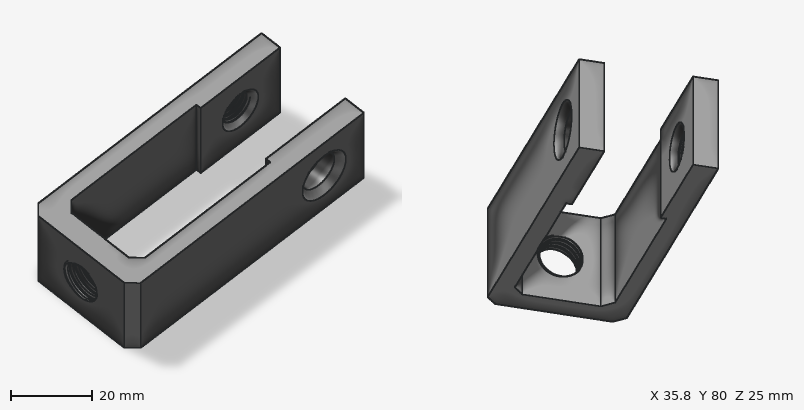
import cadquery as cq
import math

width = 35.76
length = 80.0
height = 25.0

leg_wall = 5.0
pad_wall = 6.5
pad_length = 27.45
base_wall = 6.5
corner_chamfer = 2.8

pin_from_end = pad_length / 2
pin_major_diameter = 9.5
pin_minor_diameter = 8.35
pin_pitch = 1.25
clear_hole_diameter = 11.0
countersink_depth = 2.0

shank_major_diameter = 12.3
shank_minor_diameter = 10.95
shank_pitch = 1.75

flank_angle = 30.0
crest_width_in_pitches = 1 / 6
groove_overlap = 0.1
thread_start_angle = -55.0

half_width = width / 2
front_y = -length / 2
back_y = length / 2
pin_y = back_y - pin_from_end


def chamfered_block(size_x, size_y, center_y):
    """Full-height block whose two vertical edges on the -Y side are chamfered."""
    block = cq.Workplane("XY").center(0, center_y).box(size_x, size_y, height)
    return block.faces("<Y").edges("|Z").chamfer(corner_chamfer)


def make_body():
    """U-shaped body, with the gap between the legs narrower at the open end."""
    outer = chamfered_block(width, length, 0)
    cavity_length = length - base_wall - pad_length
    cavity_center_y = front_y + base_wall + cavity_length / 2
    cavity = chamfered_block(width - 2 * leg_wall, cavity_length, cavity_center_y)
    mouth_center_y = back_y - pad_length / 2
    mouth = cq.Workplane("XY").center(0, mouth_center_y).box(width - 2 * pad_wall, pad_length, height)
    return outer.cut(cavity).cut(mouth)


def make_groove(major_diameter, minor_diameter, pitch, depth):
    """Right-handed thread groove about Z, running one pitch past each end of the depth."""
    root_radius = major_diameter / 2
    inner_radius = minor_diameter / 2 - groove_overlap
    crest_half = crest_width_in_pitches * pitch / 2
    mouth_half = crest_half + (root_radius - inner_radius) * math.tan(math.radians(flank_angle))
    profile = [
        (inner_radius, -mouth_half),
        (root_radius, -crest_half),
        (root_radius, crest_half),
        (inner_radius, mouth_half),
    ]
    helix = cq.Workplane(obj=cq.Wire.makeHelix(pitch, depth + 2 * pitch, minor_diameter / 2))
    groove = cq.Workplane("XZ").polyline(profile).close().sweep(helix, isFrenet=True)
    return groove.rotate((0, 0, 0), (0, 0, 1), thread_start_angle).translate((0, 0, -pitch))


def cut_threaded_hole(body, entry, major_diameter, minor_diameter, pitch, depth):
    """Cut a helical groove and its bore, going in from the entry plane along its normal."""
    groove = make_groove(major_diameter, minor_diameter, pitch, depth).val().moved(cq.Location(entry))
    bore = cq.Workplane(entry).circle(minor_diameter / 2).extrude(depth)
    return body.cut(cq.Workplane(obj=groove)).cut(bore)


def countersink(hole_diameter, face_x):
    """45 degree cone on the pin axis, widening toward +X up to the face at face_x."""
    hole_radius = hole_diameter / 2
    cone = cq.Solid.makeCone(
        hole_radius,
        hole_radius + countersink_depth,
        countersink_depth,
        cq.Vector(face_x - countersink_depth, pin_y, 0),
        cq.Vector(1, 0, 0),
    )
    return cq.Workplane(obj=cone)


def cut_shank_hole(body):
    """Threaded hole through the base, along Y."""
    entry = cq.Plane(origin=(0, front_y, 0), xDir=(-1, 0, 0), normal=(0, 1, 0))
    return cut_threaded_hole(
        body, entry, shank_major_diameter, shank_minor_diameter, shank_pitch, base_wall
    )


def cut_threaded_pin_hole(body):
    """Threaded hole through the -X leg, countersunk on its inner face."""
    entry = cq.Plane(origin=(-half_width, pin_y, 0), xDir=(0, 1, 0), normal=(1, 0, 0))
    body = cut_threaded_hole(
        body, entry, pin_major_diameter, pin_minor_diameter, pin_pitch, pad_wall
    )
    return body.cut(countersink(pin_minor_diameter, pad_wall - half_width))


def cut_clear_pin_hole(body):
    """Plain hole through the +X leg, countersunk on its outer face."""
    pin_axis = cq.Workplane("YZ").center(pin_y, 0)
    hole = pin_axis.circle(clear_hole_diameter / 2).extrude(half_width)
    return body.cut(hole).cut(countersink(clear_hole_diameter, half_width))


clevis = make_body()
clevis = cut_shank_hole(clevis)
clevis = cut_threaded_pin_hole(clevis)
clevis = cut_clear_pin_hole(clevis)
result = clevis.solids()